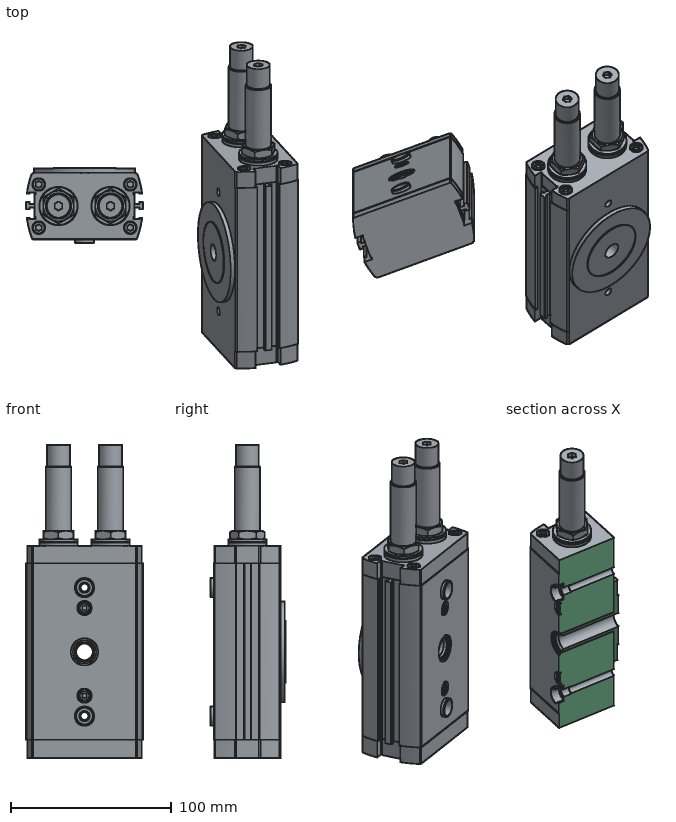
import cadquery as cq
import math


overall_height = 195.0
overall_width = 73.1
housing_height = 132.0
bottom_cap_height = 11.3
top_cap_height = 10.7
profile_height = housing_height - bottom_cap_height - top_cap_height
flange_height = 66.1
back_y = 20.5
cap_front_y = -20.7
profile_front_y = -21.0
front_corner_chamfer = 0.5
back_corner_chamfer = 1.0

profile_half_width = 36.5
cap_half_width = 36.3
side_radius = 58.5

slot_floor_x = 30.6
slot_pad_half_width = 7.0
profile_pad_x = 31.4
cap_pad_x = 31.0
slot_half_width = 8.2
lip_half_opening = 7.5
lip_depth = 1.8
rail_reach = overall_width / 2
rail_head_half_width = 2.3
rail_head_depth = 2.3
rail_stem_half_width = 1.2
rail_chamfer = 0.4

cap_screw_x = 28.5
cap_screw_y = 13.5
cap_screw_diameter = 7.0
cap_screw_recess_diameter = 8.0
cap_screw_recess_depth = 1.0
cap_screw_hex = 3.7
cap_screw_hex_depth = 2.0

absorber_x = 16.2
absorber_y = -0.2
collar_diameter = 24.0
collar_height = 4.0
collar_groove_diameter = 23.4
collar_groove_bottom = 2.1
collar_groove_height = 0.5
nut_across_flats = 19.0
nut_height = 5.3
nut_chamfer_angle = 30.0
barrel_diameter = 16.0
barrel_neck_diameter = 15.0
barrel_neck_height = 0.5
barrel_top_z = 181.7
tip_diameter = 14.5
tip_hex = 4.9
tip_hex_depth = 3.0

adjuster_offset = 27.3
adjuster_recess_diameter = 9.0
adjuster_recess_depth = 1.5
adjuster_diameter = 8.0
adjuster_top_diameter = 5.8
adjuster_chamfer_height = 1.0
adjuster_rise = 1.2
adjuster_socket_hex = 3.0
adjuster_socket_depth = 0.5

sleeve_offset = 40.0
sleeve_diameter = 12.0
sleeve_bore = 10.3
sleeve_length = 5.8
sleeve_rise = 2.3
sleeve_chamfer = 0.49
mount_countersink_diameter = 6.5
mount_step_diameter = 5.7
mount_step_depth = 5.8
mount_hole_diameter = 4.9

flange_diameter = 63.0
flange_top_y = 23.8
flange_rim_y = 23.2
flange_raised_diameter = 38.6
shaft_diameter = 14.5
shaft_front_y = -19.1
shaft_mouth_diameter = 12.0
shaft_mouth_depth = 1.5
shaft_bore = 10.3
shaft_opening_diameter = 17.0
shaft_opening_depth = 1.0


def side_x(half_width, y):
    """X of the bulging side wall at a given Y."""
    return half_width - side_radius + math.sqrt(side_radius**2 - y**2)


def block(half_width, front_y, bottom_z, height):
    """Block with flat front and back and bulging sides."""
    front_x = side_x(half_width, front_y)
    back_x = side_x(half_width, back_y)
    outline = (
        cq.Workplane("XY", origin=(0, 0, bottom_z))
        .moveTo(-front_x, front_y)
        .lineTo(front_x, front_y)
        .threePointArc((half_width, 0), (back_x, back_y))
        .lineTo(-back_x, back_y)
        .threePointArc((-half_width, 0), (-front_x, front_y))
        .close()
    )
    body = outline.extrude(height)
    body = body.faces("<Y").edges("|Z").chamfer(front_corner_chamfer)
    return body.faces(">Y").edges("|Z").chamfer(back_corner_chamfer)


def side_bar(inner_x, outer_x, half_width, bottom_z, height):
    """Pair of mirrored upright bars between two distances from the centre plane."""
    bar_centre = (inner_x + outer_x) / 2
    return (
        cq.Workplane("XY", origin=(0, 0, bottom_z))
        .pushPoints([(-bar_centre, 0), (bar_centre, 0)])
        .rect(outer_x - inner_x, 2 * half_width)
        .extrude(height)
    )


def front_cylinder(diameter, front_y, length, z):
    """Cylinder along Y that starts at front_y and runs toward the back."""
    return (
        cq.Workplane("XZ", origin=(0, front_y, z))
        .circle(diameter / 2)
        .extrude(-length)
    )


def front_cone(front_diameter, back_diameter, front_y, length, z):
    """Cone along Y that starts at front_y and runs toward the back."""
    return cq.Workplane(
        cq.Solid.makeCone(
            front_diameter / 2, back_diameter / 2, length,
            pnt=cq.Vector(0, front_y, z), dir=cq.Vector(0, 1, 0),
        )
    )


def hexagon(across_flats, x, y, bottom_z, height):
    """Upright hexagonal prism with its corners on the Y axis."""
    corner_diameter = across_flats / math.cos(math.radians(30))
    return (
        cq.Workplane("XY", origin=(x, y, bottom_z))
        .transformed(rotate=(0, 0, 90))
        .polygon(6, corner_diameter)
        .extrude(height)
    )


def upright_cylinder(diameter, x, bottom_z, height):
    """Cylinder along Z in the plane of the absorber axes."""
    return cq.Workplane("XY", origin=(x, absorber_y, bottom_z)).circle(diameter / 2).extrude(height)


def side_slots(outer_x, pad_x, bottom_z, height):
    """Slots of both sides, with a raised pad along the middle of their floors."""
    slot = side_bar(slot_floor_x, outer_x, slot_half_width, bottom_z, height)
    return slot.cut(side_bar(slot_floor_x, pad_x, slot_pad_half_width, bottom_z, height))


def make_profile():
    """Middle block with an undercut slot and a T-shaped rail on each side."""
    lip_x = side_x(profile_half_width, slot_half_width) - lip_depth
    head_x = rail_reach - rail_head_depth
    span = (bottom_cap_height, profile_height)
    slots = side_slots(lip_x, profile_pad_x, *span)
    mouths = side_bar(lip_x, rail_reach, lip_half_opening, *span)
    stems = side_bar(profile_pad_x, head_x, rail_stem_half_width, *span)
    heads = side_bar(head_x, rail_reach, rail_head_half_width, *span)
    for outer_face in ("<X", ">X"):
        heads = heads.faces(outer_face).edges("|Z").chamfer(rail_chamfer)
    body = block(profile_half_width, profile_front_y, *span)
    return body.cut(slots).cut(mouths).union(stems).union(heads)


def make_cap(bottom_z, height):
    """End cap with an open slot on each side."""
    slots = side_slots(cap_half_width, cap_pad_x, bottom_z, height)
    return block(cap_half_width, cap_front_y, bottom_z, height).cut(slots)


def cut_cap_screws(body):
    """Ring gap and hexagon socket of the four flush screws in the top cap."""
    recess_bottom = housing_height - cap_screw_recess_depth
    hex_bottom = housing_height - cap_screw_hex_depth
    for x in (-cap_screw_x, cap_screw_x):
        for y in (absorber_y - cap_screw_y, absorber_y + cap_screw_y):
            gap = (
                cq.Workplane("XY", origin=(x, y, recess_bottom))
                .circle(cap_screw_recess_diameter / 2)
                .circle(cap_screw_diameter / 2)
                .extrude(cap_screw_recess_depth)
            )
            socket = hexagon(cap_screw_hex, x, y, hex_bottom, cap_screw_hex_depth)
            body = body.cut(gap).cut(socket)
    return body


def make_nut(x, bottom_z):
    """Hexagon nut with both rims turned to a cone."""
    corner_radius = nut_across_flats / math.cos(math.radians(30)) / 2
    rim_radius = nut_across_flats / 2
    drop = (corner_radius - rim_radius) * math.tan(math.radians(nut_chamfer_angle))
    turned = (
        cq.Workplane("XZ")
        .polyline([
            (0, 0),
            (rim_radius, 0),
            (corner_radius, drop),
            (corner_radius, nut_height - drop),
            (rim_radius, nut_height),
            (0, nut_height),
        ])
        .close()
        .revolve(360, (0, 0), (0, 1))
        .translate((x, absorber_y, bottom_z))
    )
    return hexagon(nut_across_flats, x, absorber_y, bottom_z, nut_height).intersect(turned)


def make_absorber(x):
    """Grooved collar, nut, barrel and tip with a hexagon socket."""
    collar_top = housing_height + collar_height
    groove_z = housing_height + collar_groove_bottom
    neck_z = barrel_top_z - barrel_neck_height
    groove = upright_cylinder(collar_diameter, x, groove_z, collar_groove_height).cut(
        upright_cylinder(collar_groove_diameter, x, groove_z, collar_groove_height)
    )
    collar = upright_cylinder(collar_diameter, x, housing_height, collar_height).cut(groove)
    barrel = upright_cylinder(barrel_diameter, x, collar_top, neck_z - collar_top)
    neck = cq.Workplane(
        cq.Solid.makeCone(
            barrel_diameter / 2, barrel_neck_diameter / 2, barrel_neck_height,
            pnt=cq.Vector(x, absorber_y, neck_z),
        )
    )
    tip = upright_cylinder(tip_diameter, x, barrel_top_z, overall_height - barrel_top_z)
    socket = hexagon(tip_hex, x, absorber_y, overall_height - tip_hex_depth, tip_hex_depth)
    absorber = collar.union(make_nut(x, collar_top)).union(barrel).union(neck)
    return absorber.union(tip.cut(socket))


def add_adjuster(body, z):
    """Recess in the front face with a chamfered round screw standing in it."""
    floor_y = profile_front_y + adjuster_recess_depth
    top_y = floor_y - adjuster_rise
    shoulder_y = top_y + adjuster_chamfer_height
    recess = front_cylinder(adjuster_recess_diameter, profile_front_y, adjuster_recess_depth, z)
    chamfer = front_cone(adjuster_top_diameter, adjuster_diameter, top_y, adjuster_chamfer_height, z)
    head = front_cylinder(adjuster_diameter, shoulder_y, floor_y - shoulder_y, z).union(chamfer)
    socket = (
        hexagon(adjuster_socket_hex, 0, 0, 0, adjuster_socket_depth)
        .rotate((0, 0, 0), (1, 0, 0), -90)
        .translate((0, top_y, z))
    )
    return body.cut(recess.cut(head)).cut(socket)


def cut_mount_hole(body, z):
    """Through hole that opens into the seat of a centring sleeve."""
    seat_depth = sleeve_length - sleeve_rise
    seat_y = profile_front_y + seat_depth
    cone_depth = (mount_countersink_diameter - mount_step_diameter) / 2
    seat = front_cylinder(sleeve_diameter, profile_front_y, seat_depth, z)
    cone = front_cone(mount_countersink_diameter, mount_step_diameter, seat_y, cone_depth, z)
    step = front_cylinder(mount_step_diameter, seat_y, mount_step_depth, z)
    hole = front_cylinder(mount_hole_diameter, seat_y, back_y - seat_y, z)
    return body.cut(seat).cut(cone).cut(step).cut(hole)


def make_housing():
    """Profile with its end caps, screws and absorbers, bored for flange and sleeves."""
    body = make_profile()
    body = body.union(make_cap(0, bottom_cap_height))
    body = body.union(make_cap(housing_height - top_cap_height, top_cap_height))
    body = cut_cap_screws(body)
    for x in (-absorber_x, absorber_x):
        body = body.union(make_absorber(x))
    for side in (-1, 1):
        body = add_adjuster(body, flange_height + side * adjuster_offset)
        body = cut_mount_hole(body, flange_height + side * sleeve_offset)
    shaft_hole = front_cylinder(shaft_diameter, profile_front_y, back_y - profile_front_y, flange_height)
    opening = front_cylinder(shaft_opening_diameter, profile_front_y, shaft_opening_depth, flange_height)
    return body.cut(shaft_hole).cut(opening)


def make_flange():
    """Stepped disc on a hollow shaft that runs through the housing."""
    shaft = front_cylinder(shaft_diameter, shaft_front_y, back_y - shaft_front_y, flange_height)
    disc = front_cylinder(flange_diameter, back_y, flange_rim_y - back_y, flange_height)
    raised = front_cylinder(
        flange_raised_diameter, flange_rim_y, flange_top_y - flange_rim_y, flange_height
    )
    bore = front_cylinder(shaft_bore, shaft_front_y, flange_top_y - shaft_front_y, flange_height)
    mouth = front_cone(
        shaft_mouth_diameter, shaft_bore, shaft_front_y, shaft_mouth_depth, flange_height
    )
    return shaft.union(disc).union(raised).cut(bore).cut(mouth)


def make_sleeve(z):
    """Plain ring with a chamfered front rim."""
    front_y = profile_front_y - sleeve_rise
    ring = front_cylinder(sleeve_diameter, front_y, sleeve_length, z)
    bore = front_cylinder(sleeve_bore, front_y, sleeve_length, z)
    return ring.faces("<Y").chamfer(sleeve_chamfer).cut(bore)


housing = make_housing()
flange = make_flange()
sleeves = [make_sleeve(flange_height + side * sleeve_offset) for side in (-1, 1)]

result = cq.Compound.makeCompound(
    [housing.val(), flange.val(), *[sleeve.val() for sleeve in sleeves]]
)